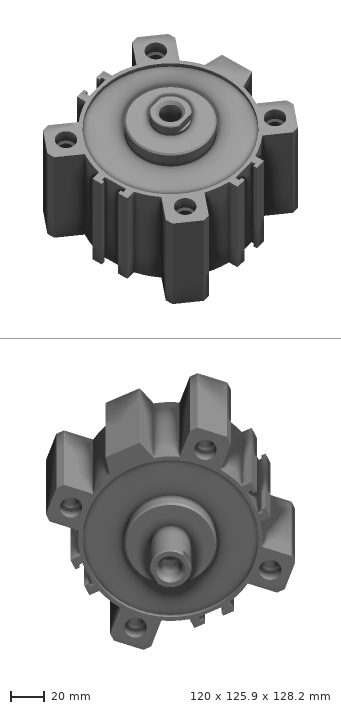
import cadquery as cq


body_height = 72.0
barrel_radius = 55.0
body_half_width = 60.0
recess_diameter = 105.0
recess_depth = 3.0

arm_width = 26.0
arm_reach = 75.5
mount_hole_offset = 44.5
mount_hole_diameter = 9.0
counterbore_diameter = 13.5
counterbore_depth = 8.3

rail_half_width = 13.0
slot_half_width = 8.0
slot_floor_distance = 54.5
lip_half_gap = 6.0
lip_thickness = 2.5

port_reach = 65.9
port_tip_half_width = 11.3
port_root_half_width = 14.5
port_root_distance = 53.0

collar_diameter = 55.0
collar_height = 7.7
collar_chamfer = 1.0

rod_diameter = 25.0
rod_upper_extension = 8.0
rod_lower_extension = 32.8
rod_chamfer = 0.5
flat_half_width = 11.0
flat_length = 5.5
rod_bore_diameter = 13.8
rod_bore_mouth_diameter = 17.5
rod_bore_depth = 25.6

collar_top = body_height + collar_height
collar_bottom = -collar_height
rod_top = collar_top + rod_upper_extension
rod_bottom = collar_bottom - rod_lower_extension


def make_arms():
    """Two crossed diagonal bars, trimmed square at the sides of the body."""
    arms = cq.Workplane("XY")
    for angle in (45, 135):
        bar = cq.Workplane("XY").rect(2 * arm_reach, arm_width).extrude(body_height)
        arms = arms.add(bar.rotate((0, 0, 0), (0, 0, 1), angle))
    envelope = cq.Workplane("XY").rect(2 * body_half_width, 2 * body_half_width).extrude(body_height)
    return arms.combine().intersect(envelope)


def make_rail():
    """Rail pointing to +X, running from the axis to its outer face."""
    return (
        cq.Workplane("XY")
        .rect(body_half_width, 2 * rail_half_width)
        .extrude(body_height)
        .translate((body_half_width / 2, 0, 0))
    )


def make_rail_slot():
    """T-shaped slot of a rail pointing to +X."""
    lip_inner = body_half_width - lip_thickness
    return (
        cq.Workplane("XY")
        .moveTo(slot_floor_distance, -slot_half_width)
        .lineTo(lip_inner, -slot_half_width)
        .lineTo(lip_inner, -lip_half_gap)
        .lineTo(body_half_width, -lip_half_gap)
        .lineTo(body_half_width, lip_half_gap)
        .lineTo(lip_inner, lip_half_gap)
        .lineTo(lip_inner, slot_half_width)
        .lineTo(slot_floor_distance, slot_half_width)
        .close()
        .extrude(body_height)
    )


def make_port_block():
    """Tapered block on the +Y side, rooted in the barrel."""
    return (
        cq.Workplane("XY")
        .moveTo(-port_root_half_width, 0)
        .lineTo(-port_root_half_width, port_root_distance)
        .lineTo(-port_tip_half_width, port_reach)
        .lineTo(port_tip_half_width, port_reach)
        .lineTo(port_root_half_width, port_root_distance)
        .lineTo(port_root_half_width, 0)
        .close()
        .extrude(body_height)
    )


def make_mount_holes():
    """Through holes in the arms, counterbored from both ends."""
    spacing = 2 * mount_hole_offset
    centres = cq.Workplane("XY").rect(spacing, spacing, forConstruction=True).vertices()
    through = centres.circle(mount_hole_diameter / 2).extrude(body_height)
    counterbore = centres.circle(counterbore_diameter / 2).extrude(counterbore_depth)
    upper = counterbore.translate((0, 0, body_height - counterbore_depth))
    return through.union(counterbore).union(upper)


def make_housing():
    housing = cq.Workplane("XY").circle(barrel_radius).extrude(body_height)
    housing = housing.union(make_arms()).union(make_port_block())

    rail_angles = (0, 180, 270)
    for angle in rail_angles:
        housing = housing.union(make_rail().rotate((0, 0, 0), (0, 0, 1), angle))
    for angle in rail_angles:
        housing = housing.cut(make_rail_slot().rotate((0, 0, 0), (0, 0, 1), angle))

    housing = housing.cut(make_mount_holes())

    recess = cq.Workplane("XY").circle(recess_diameter / 2).extrude(recess_depth)
    housing = housing.cut(recess)
    housing = housing.cut(recess.translate((0, 0, body_height - recess_depth)))

    collars = (
        cq.Workplane("XY", origin=(0, 0, collar_bottom))
        .circle(collar_diameter / 2)
        .extrude(collar_top - collar_bottom)
        .edges()
        .chamfer(collar_chamfer)
    )
    rod_hole = (
        cq.Workplane("XY", origin=(0, 0, collar_bottom))
        .circle(rod_diameter / 2)
        .extrude(collar_top - collar_bottom)
    )
    return housing.union(collars).cut(rod_hole)


def make_rod_bore(end, inward):
    """Blind bore with a 45 degree mouth at height end; inward is -1 for down or 1 for up."""
    bore_radius = rod_bore_diameter / 2
    mouth_radius = rod_bore_mouth_diameter / 2
    mouth_bottom = end + inward * (mouth_radius - bore_radius)
    bore_bottom = end + inward * rod_bore_depth
    return (
        cq.Workplane("XZ")
        .moveTo(0, end)
        .lineTo(mouth_radius, end)
        .lineTo(bore_radius, mouth_bottom)
        .lineTo(bore_radius, bore_bottom)
        .lineTo(0, bore_bottom)
        .close()
        .revolve(360, (0, 0, 0), (0, 1, 0))
    )


def make_rod():
    rod = (
        cq.Workplane("XY", origin=(0, 0, rod_bottom))
        .circle(rod_diameter / 2)
        .extrude(rod_top - rod_bottom)
        .edges()
        .chamfer(rod_chamfer)
    )

    for end, inward in ((rod_bottom, 1), (rod_top, -1)):
        rod = rod.cut(make_rod_bore(end, inward))
        z_centre = end + inward * flat_length / 2
        for side in (-1, 1):
            x_centre = side * (flat_half_width + rod_diameter / 2)
            cutter = cq.Workplane("XY").box(rod_diameter, rod_diameter, flat_length)
            rod = rod.cut(cutter.translate((x_centre, 0, z_centre)))

    return rod


housing = make_housing()
rod = make_rod()

result = cq.Compound.makeCompound([housing.val(), rod.val()])